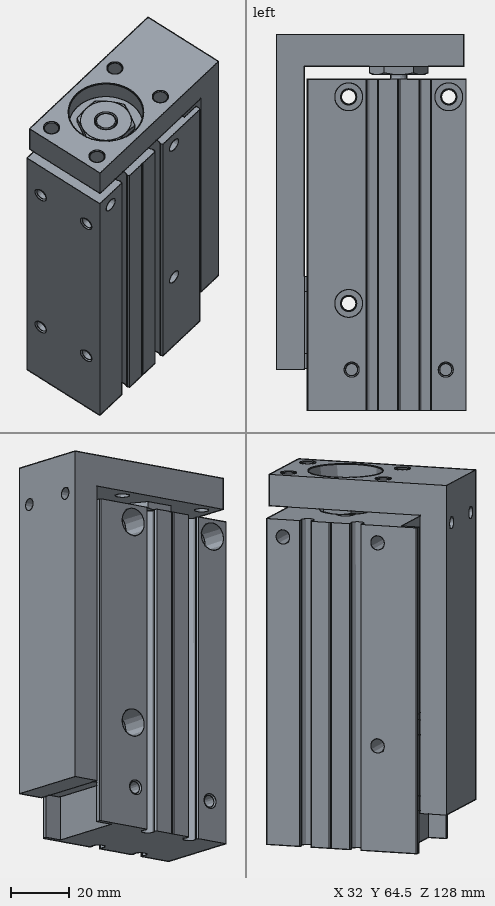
import cadquery as cq
import math


housing_width = 32.0
housing_front_y = -22.9
housing_back_y = 31.2
housing_height = 112.8
back_edge_chamfer = 0.4

channel_wall = 1.9
channel_depth = 6.3

groove_offset = 9.0
groove_mouth_width = 4.2
groove_neck_width = 3.6
groove_lip_depth = 0.8
groove_neck_length = 0.4
groove_diameter = 4.4

center_groove_width = 0.9
center_groove_depth = 0.19

mount_hole_diameter = 4.9
mount_rim_diameter = 5.5
mount_bore_diameter = 9.5
mount_bore_depth = 10.2
mount_hole_y = 17.0
mount_upper_z = 106.8
mount_lower_z = 36.5

port_diameter = 4.1
port_rim_diameter = 5.1
port_depth = 7.7
port_y = 16.0
port_z = 14.0

front_hole_diameter = 4.1
front_hole_rim_diameter = 5.0
front_hole_depth = 7.7
front_hole_x = 10.0
front_hole_heights = (27.3, 97.5)

table_width = 31.0
table_top_z = 128.0
table_bottom_z = 14.0
table_front_y = -22.1
table_back_y = 41.6
top_plate_thickness = 10.9
back_plate_thickness = 9.5

nut_pocket_diameter = 25.2
nut_pocket_rim_diameter = 25.7
nut_pocket_depth = 6.9

table_hole_diameter = 4.9
table_hole_rim_diameter = 5.5
table_hole_x = 10.0
table_hole_y = 17.0

back_hole_diameter = 4.1
back_hole_x = 10.0
back_hole_z = 114.2

nut_corner_diameter = 20.0
nut_chamfer_circle = 17.3
nut_chamfer_angle = 25
nut_envelope_margin = 1.3
nut_bottom_z = 114.3
nut_top_z = 123.4
tip_groove_outer_diameter = 8.0
tip_groove_diameter = 7.2
rod_neck_diameter = 5.5
rod_foot_diameter = 5.9
rod_foot_height = 0.8

guide_bottom_z = 14.3
guide_top_z = 45.7
guide_width = 25.6
guide_end_cap_length = 5.1
guide_end_cap_inset = 0.6
guide_floor_gap = 1.3

left_x = -housing_width / 2
channel_floor_y = housing_back_y - channel_depth
top_plate_bottom_z = table_top_z - top_plate_thickness
back_plate_front_y = table_back_y - back_plate_thickness


def block(x_range, y_range, z_range):
    """Box given by its lower and upper limit along each axis."""
    (x0, x1), (y0, y1), (z0, z1) = x_range, y_range, z_range
    return cq.Workplane("XY").box(x1 - x0, y1 - y0, z1 - z0, centered=False).translate((x0, y0, z0))


def cylinder(start, direction, diameter, depth):
    """Round tool that runs from a start point along a direction."""
    tool = cq.Solid.makeCylinder(diameter / 2, depth, cq.Vector(*start), cq.Vector(*direction))
    return cq.Workplane(obj=tool)


def rim_hole(start, direction, diameter, rim_diameter, depth):
    """Drill tool with a 45 degree chamfer at its mouth."""
    rim_height = (rim_diameter - diameter) / 2
    rim = cq.Solid.makeCone(
        rim_diameter / 2, diameter / 2, rim_height, cq.Vector(*start), cq.Vector(*direction)
    )
    return cylinder(start, direction, diameter, depth).union(cq.Workplane(obj=rim))


def sensor_groove(center_y):
    """Full-height groove in the -X side: tapered mouth, narrow neck, round bottom wider than the neck."""
    mouth = groove_mouth_width / 2
    neck = groove_neck_width / 2
    radius = groove_diameter / 2
    lip_x = left_x + groove_lip_depth
    neck_x = lip_x + groove_neck_length
    floor_x = neck_x + math.sqrt(radius**2 - neck**2) + radius
    return (
        cq.Workplane("XY")
        .moveTo(left_x, center_y - mouth)
        .lineTo(lip_x, center_y - neck)
        .lineTo(neck_x, center_y - neck)
        .threePointArc((floor_x, center_y), (neck_x, center_y + neck))
        .lineTo(lip_x, center_y + neck)
        .lineTo(left_x, center_y + mouth)
        .close()
        .extrude(housing_height)
    )


def center_groove():
    """Full-height V groove in the -X side, level with the rod axis."""
    return (
        cq.Workplane("XY")
        .moveTo(left_x, -center_groove_width / 2)
        .lineTo(left_x + center_groove_depth, 0)
        .lineTo(left_x, center_groove_width / 2)
        .close()
        .extrude(housing_height)
    )


def mount_hole(y, z):
    """Through hole along X with a counterbore on the -X side."""
    bore = cylinder((left_x, y, z), (1, 0, 0), mount_bore_diameter, mount_bore_depth)
    drill = rim_hole(
        (left_x + mount_bore_depth, y, z), (1, 0, 0),
        mount_hole_diameter, mount_rim_diameter, housing_width - mount_bore_depth,
    )
    return bore.union(drill)


def make_housing():
    body = block(
        (left_x, -left_x), (housing_front_y, housing_back_y), (0, housing_height)
    )
    body = body.edges("|Z and >Y").chamfer(back_edge_chamfer)
    body = body.cut(block(
        (left_x + channel_wall, -left_x - channel_wall),
        (channel_floor_y, housing_back_y),
        (0, housing_height),
    ))

    for groove in (sensor_groove(groove_offset), sensor_groove(-groove_offset), center_groove()):
        body = body.cut(groove).cut(groove.mirror("YZ"))

    for y, z in (
        (mount_hole_y, mount_upper_z),
        (-mount_hole_y, mount_upper_z),
        (mount_hole_y, mount_lower_z),
    ):
        body = body.cut(mount_hole(y, z))

    for y in (-port_y, port_y):
        body = body.cut(rim_hole(
            (left_x, y, port_z), (1, 0, 0), port_diameter, port_rim_diameter, port_depth
        ))

    for x in (-front_hole_x, front_hole_x):
        for z in front_hole_heights:
            body = body.cut(rim_hole(
                (x, housing_front_y, z), (0, 1, 0),
                front_hole_diameter, front_hole_rim_diameter, front_hole_depth,
            ))
    return body


def make_plates():
    """L-shaped table: top plate and back plate with their holes."""
    half_width = table_width / 2
    plates = (
        cq.Workplane("YZ")
        .moveTo(table_front_y, table_top_z)
        .lineTo(table_back_y, table_top_z)
        .lineTo(table_back_y, table_bottom_z)
        .lineTo(back_plate_front_y, table_bottom_z)
        .lineTo(back_plate_front_y, top_plate_bottom_z)
        .lineTo(table_front_y, top_plate_bottom_z)
        .close()
        .extrude(half_width, both=True)
    )
    plates = plates.cut(rim_hole(
        (0, 0, table_top_z), (0, 0, -1),
        nut_pocket_diameter, nut_pocket_rim_diameter, nut_pocket_depth,
    ))
    for x in (-table_hole_x, table_hole_x):
        for y in (-table_hole_y, table_hole_y):
            plates = plates.cut(rim_hole(
                (x, y, table_top_z), (0, 0, -1),
                table_hole_diameter, table_hole_rim_diameter, top_plate_thickness,
            ))

    for x in (-back_hole_x, back_hole_x):
        plates = plates.cut(cylinder(
            (x, back_plate_front_y, back_hole_z), (0, 1, 0), back_hole_diameter, back_plate_thickness
        ))
    return plates


def make_nut():
    """Hexagon with corners on the Y axis and both ends chamfered to a circle."""
    nut_height = nut_top_z - nut_bottom_z
    hexagon = (
        cq.Workplane("XY", origin=(0, 0, nut_bottom_z))
        .polygon(6, nut_corner_diameter)
        .extrude(nut_height)
        .rotate((0, 0, 0), (0, 0, 1), 90)
    )
    circle_radius = nut_chamfer_circle / 2
    envelope_radius = nut_corner_diameter / 2 + nut_envelope_margin
    chamfer_height = (envelope_radius - circle_radius) * math.tan(math.radians(nut_chamfer_angle))
    envelope = (
        cq.Workplane("XZ")
        .moveTo(0, nut_bottom_z)
        .lineTo(circle_radius, nut_bottom_z)
        .lineTo(envelope_radius, nut_bottom_z + chamfer_height)
        .lineTo(envelope_radius, nut_top_z - chamfer_height)
        .lineTo(circle_radius, nut_top_z)
        .lineTo(0, nut_top_z)
        .close()
        .revolve(360, (0, 0, 0), (0, 1, 0))
    )

    groove_radius = tip_groove_diameter / 2
    half_width = tip_groove_outer_diameter / 2 - groove_radius
    tip_groove = (
        cq.Workplane("XZ")
        .moveTo(groove_radius - half_width, nut_top_z)
        .lineTo(groove_radius, nut_top_z - half_width)
        .lineTo(groove_radius + half_width, nut_top_z)
        .close()
        .revolve(360, (0, 0, 0), (0, 1, 0))
    )
    return hexagon.intersect(envelope).cut(tip_groove)


def make_rod():
    """Rod neck below the nut, widening to a conical foot that stands on the housing."""
    foot = cq.Workplane(obj=cq.Solid.makeCone(
        rod_foot_diameter / 2, rod_neck_diameter / 2, rod_foot_height, cq.Vector(0, 0, housing_height)
    ))
    neck = cylinder(
        (0, 0, housing_height), (0, 0, 1), rod_neck_diameter, nut_bottom_z - housing_height
    )
    return foot.union(neck)


def make_guide_block():
    """Guide block on the back plate, reaching into the housing channel."""
    half_width = guide_width / 2
    cap_half_width = half_width - guide_end_cap_inset
    front_y = channel_floor_y + guide_floor_gap
    core = block(
        (-half_width, half_width),
        (front_y, back_plate_front_y),
        (guide_bottom_z + guide_end_cap_length, guide_top_z - guide_end_cap_length),
    )
    caps = block(
        (-cap_half_width, cap_half_width),
        (front_y + guide_end_cap_inset, back_plate_front_y),
        (guide_bottom_z, guide_top_z),
    )
    return core.union(caps)


def make_table():
    return make_plates().union(make_nut()).union(make_rod()).union(make_guide_block())


housing = make_housing()
table = make_table()

result = cq.Compound.makeCompound([housing.solids().val(), table.solids().val()])